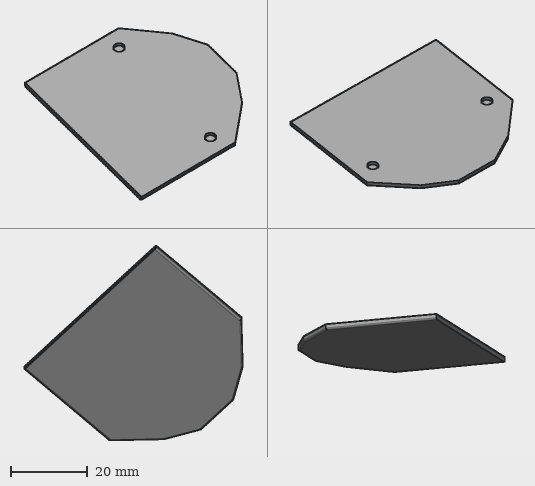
import cadquery as cq

width = 49.85
length = 45.85
thickness = 1.45

side_length = 30.9
shoulder_half_width = 14.95
shoulder_y = 40.9
tip_half_width = 6.2

edge_radius = 0.5

recess_diameter = 3.0
recess_depth = 1.0
recess_spacing = 39.1
recess_y = 26.9


def make_plate():
    """Flat plate whose rear end tapers in straight facets, symmetric about X = 0."""
    right_half = [
        (width / 2, 0),
        (width / 2, side_length),
        (shoulder_half_width, shoulder_y),
        (tip_half_width, length),
    ]
    left_half = [(-x, y) for x, y in reversed(right_half)]
    return cq.Workplane("XY").polyline(right_half + left_half).close().extrude(thickness)


def round_underside(plate):
    """Round the bottom edges, leaving the front edge at Y = 0 square."""
    front_edge = cq.selectors.DirectionMinMaxSelector(cq.Vector(0, 1, 0), directionMax=False)
    bottom_edges = plate.faces("<Z").edges(cq.selectors.InverseSelector(front_edge))
    return bottom_edges.fillet(edge_radius)


def make_recesses():
    """Cutters for the pair of blind recesses sunk from the top face."""
    return (
        cq.Workplane("XY", origin=(0, 0, thickness))
        .pushPoints([(side * recess_spacing / 2, recess_y) for side in (-1, 1)])
        .circle(recess_diameter / 2)
        .extrude(-recess_depth)
    )


result = round_underside(make_plate()).cut(make_recesses())